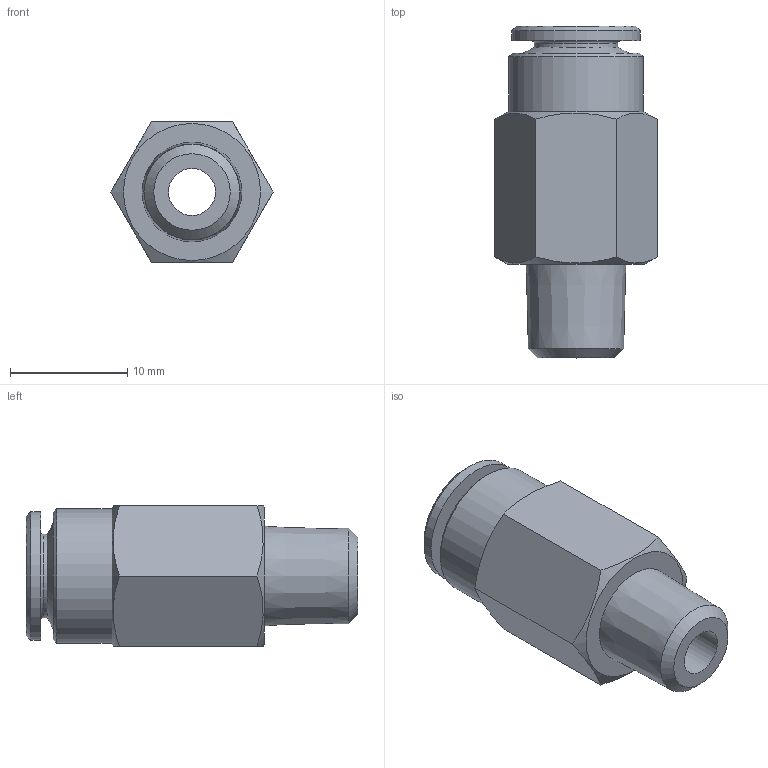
import cadquery as cq
import math


overall_length = 28.34
stem_length = 8.0
hex_length = 13.0
flange_thickness = 1.24
neck_length = 0.57
shoulder_length = 0.52

bore_diameter = 4.0
stem_root_diameter = 8.5
stem_end_diameter = 8.14
hex_across_flats = 12.0
hex_face_diameter = 11.7
body_diameter = 11.5
shoulder_diameter = 9.1
neck_diameter = 7.1
flange_diameter = 11.0

stem_chamfer = 0.8
body_chamfer = 0.3
flange_chamfer = 0.4
neck_fillet = 0.25
hex_chamfer_angle = 30.0

hex_end = stem_length + hex_length
flange_start = overall_length - flange_thickness
neck_start = flange_start - neck_length
body_end = neck_start - shoulder_length
hex_across_corners = hex_across_flats / math.cos(math.radians(30))


def revolve_about_y(profile):
    """Revolve a closed profile of (radius, axial position) points about the Y axis."""
    return profile.revolve(360, (0, 0, 0), (0, 1, 0))


def make_hexagon():
    """Hexagon with flats on +Z and -Z and its corners chamfered at both ends."""
    prism = (
        cq.Workplane("XZ", origin=(0, stem_length, 0))
        .polygon(6, hex_across_corners)
        .extrude(-hex_length)
    )
    face_radius = hex_face_diameter / 2
    corner_radius = hex_across_corners / 2
    chamfer_length = (corner_radius - face_radius) * math.tan(math.radians(hex_chamfer_angle))
    envelope_profile = (
        cq.Workplane("XY")
        .moveTo(0, stem_length)
        .lineTo(face_radius, stem_length)
        .lineTo(corner_radius, stem_length + chamfer_length)
        .lineTo(corner_radius, hex_end - chamfer_length)
        .lineTo(face_radius, hex_end)
        .lineTo(0, hex_end)
        .close()
    )
    return prism.intersect(revolve_about_y(envelope_profile))


def make_turned_core():
    """Tapered stem, round body, neck and release flange as one turned shape."""
    stem_end_radius = stem_end_diameter / 2
    body_radius = body_diameter / 2
    neck_radius = neck_diameter / 2
    flange_radius = flange_diameter / 2
    profile = (
        cq.Workplane("XY")
        .moveTo(0, 0)
        .lineTo(stem_end_radius - stem_chamfer, 0)
        .lineTo(stem_end_radius, stem_chamfer)
        .lineTo(stem_root_diameter / 2, stem_length)
        .lineTo(body_radius, stem_length)
        .lineTo(body_radius, body_end - body_chamfer)
        .lineTo(body_radius - body_chamfer, body_end)
        .lineTo(shoulder_diameter / 2, body_end)
        .lineTo(neck_radius, neck_start)
        .lineTo(neck_radius, flange_start - neck_fillet)
        .radiusArc((neck_radius + neck_fillet, flange_start), neck_fillet)
        .lineTo(flange_radius, flange_start)
        .lineTo(flange_radius, overall_length - flange_chamfer)
        .lineTo(flange_radius - flange_chamfer, overall_length)
        .lineTo(0, overall_length)
        .close()
    )
    return revolve_about_y(profile)


def make_bore():
    """Through bore along the whole fitting."""
    return cq.Workplane("XZ").circle(bore_diameter / 2).extrude(-overall_length)


result = make_turned_core().union(make_hexagon()).cut(make_bore())